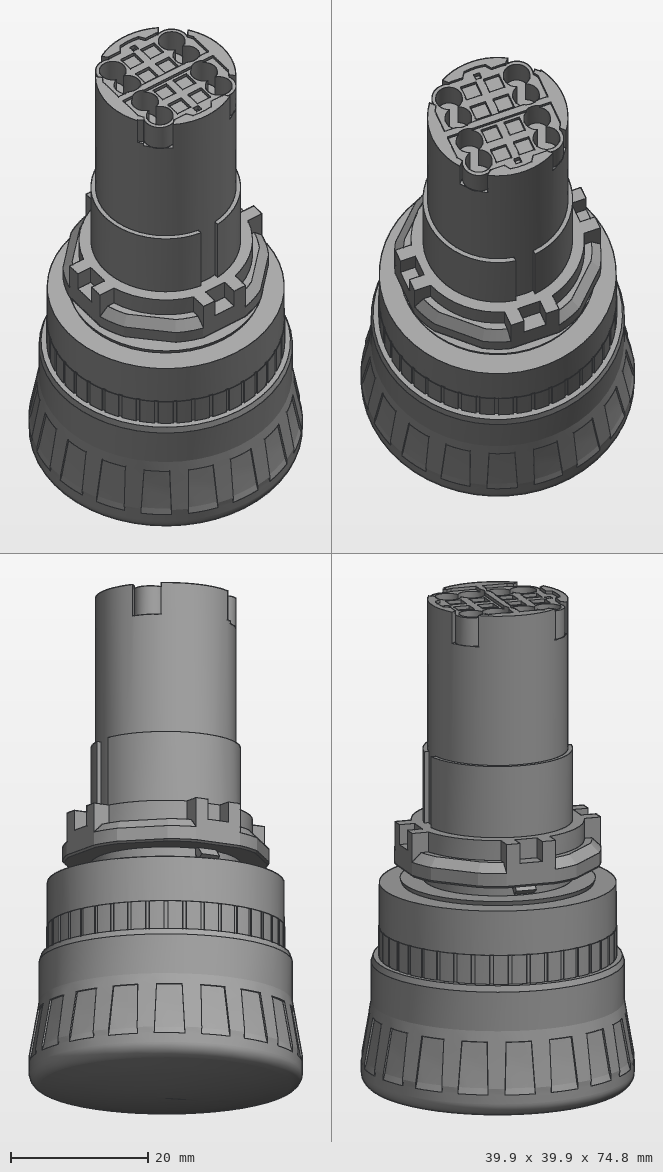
import cadquery as cq
import math

TOTAL_HEIGHT = 74.8
SLEEVE_TOP = 52.4
NUT_TOP = 41.7
NUT_LEDGE = 38.7
NUT_BOTTOM = 35.1
GASKET_TOP = 32.9
BARREL_TOP = 32.25
TEETH_TOP = 25.6
COLLAR_TOP = 21.25
COLLAR_BOTTOM = 14.45
CONE_BOTTOM = 6.1
RIM_BOTTOM = 3.8
CROWN_EDGE = 1.9

TUBE_D = 20.5
SLEEVE_D = 21.85
GASKET_TOP_D = 28.5
GASKET_BASE_D = 28.0
BARREL_D = 34.6
TEETH_D = 34.7
COLLAR_D = 37.0
BUTTON_D = 39.9
CROWN_D = 36.8

COLLAR_CHAMFER_WIDTH = 0.3
COLLAR_CHAMFER_HEIGHT = 0.9

KEYWAY_WIDTH = 3.0

LATCH_WIDTH = 3.1
LATCH_ROOT_R = 10.5
LATCH_TOP_R = 11.5
LATCH_TIP = (12.5, 34.0)
LATCH_HEEL = (11.6, 33.3)
LATCH_ROOT_BOTTOM = 34.4

TOOTH_COUNT = 40
GROOVE_WIDTH = 0.5
GROOVE_DEPTH = 0.2

POCKET_COUNT = 18
POCKET_TOP = 12.9
POCKET_BOTTOM = 5.25
POCKET_TOP_WIDTH = 3.75
POCKET_BOTTOM_WIDTH = 4.5
POCKET_DEPTH = 0.3

NUT_SIDES = 8
NUT_FLATS = 29.2
NUT_CORNER_D = 30.15
NUT_RING_D = 25.3
NUT_CHAMFER = 1.35
NUT_BASE_CHAMFER = 0.3
LUG_WIDTH = 7.55
LUG_SLOT_WIDTH = 3.45
LUG_SLOT_LENGTH = 2.3

FACE_DEPTH = 0.45
FACE_FLOOR = TOTAL_HEIGHT - FACE_DEPTH
FACE_D = 18.4
FACE_SIDE_X = 8.15
FACE_BULGE_BASE = 4.5
FACE_BULGE_TIP = 3.15
FACE_LENGTH_Y = 16.25
RIB_WIDTH = 1.05
TERMINAL_XS = (2.2, 5.8)
TERMINAL_Y = 5.3
TERMINAL_D = 3.9
WINDOW_Y = 1.8
WINDOW_SIZE = 2.4
WINDOW_DEPTH = 0.5
PIN_HOLE_X = 7.85
PIN_HOLE_SIZE = 0.9
PIN_HOLE_DEPTH = 0.75

NOTCH_WIDTH = 4.35
NOTCH_HEIGHT = 4.7
NOTCH_START_R = 8.5
NOTCH_BOTTOM = TOTAL_HEIGHT - NOTCH_HEIGHT
BOSS_D = 4.8
BOSS_CENTER_R = 8.0
RELIEF_WIDTH = 0.9
RELIEF_HEIGHT = 4.35
RELIEF_START_R = 9.6
RELIEF_LENGTH = 1.1

CLEARANCE = 0.75

SIGNS = (-1, 1)


def disc(diameter, bottom, top):
    return cq.Workplane("XY").workplane(offset=bottom).circle(diameter / 2).extrude(top - bottom)


def block(size_x, size_y, bottom, top, center=(0, 0)):
    plane = cq.Workplane("XY").workplane(offset=bottom).center(*center)
    return plane.rect(size_x, size_y).extrude(top - bottom)


def spin(shape, angle):
    return shape.rotate((0, 0, 0), (0, 0, 1), angle)


def revolved(profile):
    return profile.close().revolve(360, (0, 0, 0), (0, 1, 0))


def turned_body():
    button_r = BUTTON_D / 2
    crown_r = CROWN_D / 2
    collar_r = COLLAR_D / 2
    crown_rise = CROWN_EDGE / 4
    rim_width = button_r - crown_r
    rim_height = RIM_BOTTOM - CROWN_EDGE
    rim_r = (rim_width**2 + rim_height**2) / (2 * rim_width)
    half_sweep = math.asin(rim_height / rim_r) / 2
    rim_middle = (
        button_r - rim_r + rim_r * math.cos(half_sweep),
        RIM_BOTTOM - rim_r * math.sin(half_sweep),
    )
    profile = (
        cq.Workplane("XZ")
        .moveTo(0, 0)
        .threePointArc((crown_r / 2, crown_rise), (crown_r, CROWN_EDGE))
        .threePointArc(rim_middle, (button_r, RIM_BOTTOM))
        .lineTo(button_r, CONE_BOTTOM)
        .lineTo(collar_r, COLLAR_BOTTOM)
        .lineTo(collar_r, COLLAR_TOP - COLLAR_CHAMFER_HEIGHT)
        .lineTo(collar_r - COLLAR_CHAMFER_WIDTH, COLLAR_TOP)
        .lineTo(TEETH_D / 2, COLLAR_TOP)
        .lineTo(TEETH_D / 2, TEETH_TOP)
        .lineTo(BARREL_D / 2, TEETH_TOP)
        .lineTo(BARREL_D / 2, BARREL_TOP)
        .lineTo(GASKET_BASE_D / 2, BARREL_TOP)
        .lineTo(GASKET_TOP_D / 2, GASKET_TOP)
        .lineTo(SLEEVE_D / 2, GASKET_TOP)
        .lineTo(SLEEVE_D / 2, SLEEVE_TOP)
        .lineTo(TUBE_D / 2, SLEEVE_TOP)
        .lineTo(TUBE_D / 2, TOTAL_HEIGHT)
        .lineTo(0, TOTAL_HEIGHT)
    )
    return revolved(profile)


def keyways():
    strips = block(SLEEVE_D + CLEARANCE, KEYWAY_WIDTH, NUT_TOP, SLEEVE_TOP)
    return strips.cut(disc(TUBE_D, NUT_TOP, SLEEVE_TOP))


def latches():
    hook = (
        cq.Workplane("YZ")
        .polyline([
            (LATCH_ROOT_R, NUT_BOTTOM),
            (LATCH_TOP_R, NUT_BOTTOM),
            LATCH_TIP,
            LATCH_HEEL,
            (LATCH_ROOT_R, LATCH_ROOT_BOTTOM),
        ])
        .close()
        .extrude(LATCH_WIDTH / 2, both=True)
    )
    return hook.union(hook.mirror("XZ"))


def tooth_grooves():
    pitch = 360 / TOOTH_COUNT
    floor_r = TEETH_D / 2 - GROOVE_DEPTH
    grooves = cq.Workplane("XY")
    groove = block(2 * GROOVE_DEPTH, GROOVE_WIDTH, COLLAR_TOP, TEETH_TOP, (floor_r + GROOVE_DEPTH, 0))
    for index in range(TOOTH_COUNT):
        grooves.add(spin(groove, (index + 0.5) * pitch))
    return grooves.combine()


def finger_pockets():
    button_r = BUTTON_D / 2
    slope = (BUTTON_D - COLLAR_D) / 2 / (CONE_BOTTOM - COLLAR_BOTTOM)
    top_r = button_r + slope * (POCKET_TOP - CONE_BOTTOM)
    clear_r = button_r + CLEARANCE
    shell = revolved(
        cq.Workplane("XZ")
        .moveTo(clear_r, POCKET_TOP)
        .lineTo(top_r - POCKET_DEPTH, POCKET_TOP)
        .lineTo(button_r - POCKET_DEPTH, CONE_BOTTOM)
        .lineTo(button_r, POCKET_BOTTOM)
        .lineTo(clear_r, POCKET_BOTTOM)
    )
    sector = (
        cq.Workplane("YZ")
        .polyline([
            (-POCKET_TOP_WIDTH / 2, POCKET_TOP),
            (POCKET_TOP_WIDTH / 2, POCKET_TOP),
            (POCKET_BOTTOM_WIDTH / 2, POCKET_BOTTOM),
            (-POCKET_BOTTOM_WIDTH / 2, POCKET_BOTTOM),
        ])
        .close()
        .extrude(clear_r + CLEARANCE)
    )
    pocket = shell.intersect(sector)
    pockets = cq.Workplane("XY")
    for index in range(POCKET_COUNT):
        pockets.add(spin(pocket, index * 360 / POCKET_COUNT))
    return pockets.combine()


def nut():
    octagon_d = NUT_FLATS / math.cos(math.pi / NUT_SIDES)
    octagon = (
        cq.Workplane("XY")
        .workplane(offset=NUT_BOTTOM)
        .polygon(NUT_SIDES, octagon_d)
        .extrude(NUT_LEDGE - NUT_BOTTOM)
        .rotate((0, 0, 0), (0, 0, 1), 180 / NUT_SIDES)
    )
    flange = disc(NUT_CORNER_D, NUT_BOTTOM, NUT_LEDGE).intersect(octagon)
    flange = flange.faces(">Z").chamfer(NUT_CHAMFER).faces("<Z").chamfer(NUT_BASE_CHAMFER)
    body = flange.union(disc(NUT_RING_D, NUT_BOTTOM, NUT_TOP))
    lug_bottom = NUT_BOTTOM + NUT_BASE_CHAMFER
    slot_x = NUT_FLATS / 2 - LUG_SLOT_LENGTH / 2
    slot = block(LUG_SLOT_LENGTH, LUG_SLOT_WIDTH, NUT_LEDGE, NUT_TOP, (slot_x, 0))
    for across in (0, 90):
        lugs = block(NUT_FLATS, LUG_WIDTH, lug_bottom, NUT_TOP)
        body = body.union(spin(lugs, across))
    for angle in (0, 90, 180, 270):
        body = body.cut(spin(slot, angle))
    return body


def face_recess():
    half_x = FACE_D / 2
    flats = (
        cq.Workplane("XY")
        .workplane(offset=FACE_FLOOR)
        .polyline([
            (-FACE_SIDE_X, FACE_LENGTH_Y / 2),
            (-FACE_SIDE_X, FACE_BULGE_BASE / 2),
            (-half_x, FACE_BULGE_TIP / 2),
            (-half_x, -FACE_BULGE_TIP / 2),
            (-FACE_SIDE_X, -FACE_BULGE_BASE / 2),
            (-FACE_SIDE_X, -FACE_LENGTH_Y / 2),
            (0, -FACE_LENGTH_Y / 2),
            (0, FACE_LENGTH_Y / 2),
        ])
        .close()
        .extrude(FACE_DEPTH)
    )
    outline = flats.union(flats.mirror("YZ")).intersect(disc(FACE_D, FACE_FLOOR, TOTAL_HEIGHT))
    return outline.cut(block(RIB_WIDTH, FACE_D, FACE_FLOOR, TOTAL_HEIGHT))


def corner_angle(side_x, side_y):
    return math.degrees(math.atan2(side_y * TERMINAL_Y, side_x * TERMINAL_XS[-1]))


def corner_notch():
    length = TUBE_D / 2 - NOTCH_START_R + CLEARANCE
    return block(length, NOTCH_WIDTH, NOTCH_BOTTOM, TOTAL_HEIGHT, (NOTCH_START_R + length / 2, 0))


def corner_boss():
    return disc(BOSS_D, NOTCH_BOTTOM, FACE_FLOOR).translate((BOSS_CENTER_R, 0, 0))


def notch_relief():
    center_y = NOTCH_WIDTH / 2 + RELIEF_WIDTH / 2
    center = (RELIEF_START_R + RELIEF_LENGTH / 2, -center_y)
    return block(RELIEF_LENGTH, RELIEF_WIDTH, TOTAL_HEIGHT - RELIEF_HEIGHT, TOTAL_HEIGHT, center)


def corner_terminals(body):
    for side_x in SIGNS:
        for side_y in SIGNS:
            angle = corner_angle(side_x, side_y)
            body = body.cut(spin(corner_notch(), angle))
            body = body.union(spin(corner_boss(), angle))
    return body.cut(spin(notch_relief(), corner_angle(1, -1)))


def terminal_openings(body):
    terminal = disc(TERMINAL_D, NOTCH_BOTTOM, TOTAL_HEIGHT)
    window = block(WINDOW_SIZE, WINDOW_SIZE, FACE_FLOOR - WINDOW_DEPTH, TOTAL_HEIGHT)
    pin_hole = block(PIN_HOLE_SIZE, PIN_HOLE_SIZE, FACE_FLOOR - PIN_HOLE_DEPTH, TOTAL_HEIGHT)
    for side_x in SIGNS:
        body = body.cut(pin_hole.translate((side_x * PIN_HOLE_X, 0, 0)))
        for side_y in SIGNS:
            for x in TERMINAL_XS:
                body = body.cut(terminal.translate((side_x * x, side_y * TERMINAL_Y, 0)))
                body = body.cut(window.translate((side_x * x, side_y * WINDOW_Y, 0)))
    return body


result = turned_body().cut(keyways()).cut(tooth_grooves()).cut(finger_pockets())
result = result.union(nut()).union(latches())
result = corner_terminals(result.cut(face_recess()))
result = terminal_openings(result)